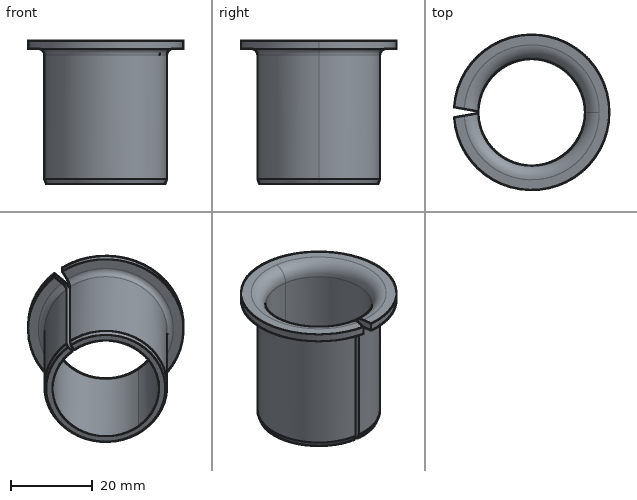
import cadquery as cq
import math

flange_diameter = 37.98
sleeve_outer_diameter = 30.0
wall = 2.0
height = 35.0
outer_bend_radius = 1.5
lead_in_height = 1.3
lead_in_angle = 20.0
slit_inner_width = 0.35
slit_side_angle = 10.0

flange_radius = flange_diameter / 2
outer_radius = sleeve_outer_diameter / 2
inner_radius = outer_radius - wall
inner_bend_radius = outer_bend_radius + wall
bend_center_radius = outer_radius + outer_bend_radius
bend_center_height = height - inner_bend_radius
lead_in_inset = lead_in_height * math.tan(math.radians(lead_in_angle))


def bend_midpoint(bend_radius):
    """Middle of a quarter arc around the common bend centre."""
    offset = bend_radius * math.sqrt(0.5)
    return (bend_center_radius - offset, bend_center_height + offset)


def flanged_sleeve():
    """Constant wall bent outward into a flange, with a tapered lower end."""
    profile = (
        cq.Workplane("XZ")
        .moveTo(inner_radius, 0)
        .lineTo(outer_radius - lead_in_inset, 0)
        .lineTo(outer_radius, lead_in_height)
        .lineTo(outer_radius, bend_center_height)
        .threePointArc(bend_midpoint(outer_bend_radius), (bend_center_radius, height - wall))
        .lineTo(flange_radius, height - wall)
        .lineTo(flange_radius, height)
        .lineTo(bend_center_radius, height)
        .threePointArc(bend_midpoint(inner_bend_radius), (inner_radius, bend_center_height))
        .close()
    )
    return profile.revolve(360, (0, 0), (0, 1))


def slit_cutter():
    """Full-height wedge on the -X side, widening outward."""
    reach = flange_diameter
    inner_half_width = slit_inner_width / 2
    outer_half_width = inner_half_width + (reach - inner_radius) * math.tan(math.radians(slit_side_angle))
    apex_radius = inner_radius - inner_half_width / math.tan(math.radians(slit_side_angle))
    return (
        cq.Workplane("XY")
        .polyline([(-apex_radius, 0), (-reach, outer_half_width), (-reach, -outer_half_width)])
        .close()
        .extrude(height)
    )


result = flanged_sleeve().cut(slit_cutter())